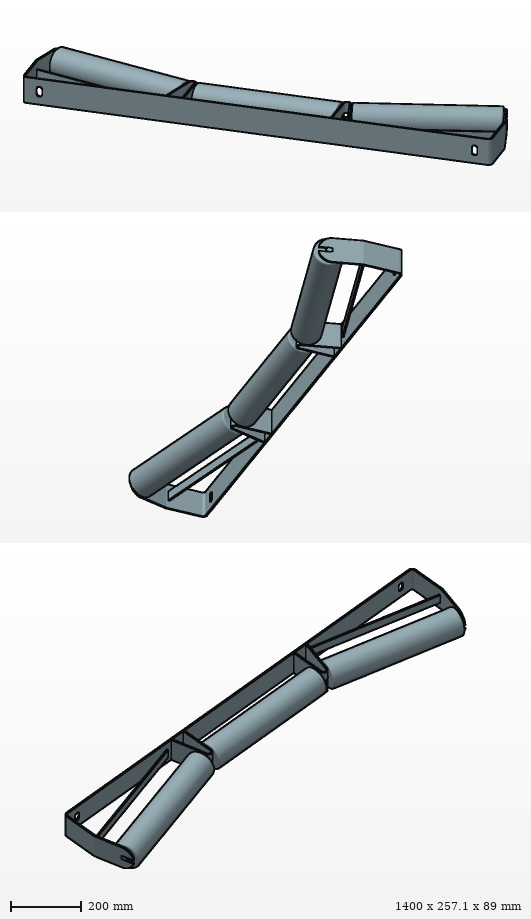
import cadquery as cq
import math


TILT = 15.0
SIN = math.sin(math.radians(TILT))
COS = math.cos(math.radians(TILT))
TAN = math.tan(math.radians(TILT))

STRIP = 5.0
STRIP_WIDTH = 80.0
BEND_INNER = 7.5
BEND_OUTER = BEND_INNER + STRIP

ROLLER_DIAMETER = 89.0
ROLLER_LENGTH = 430.0
ROLLER_ROUNDING = 5.0
END_GAP = 4.0
SUPPORT_SPAN = ROLLER_LENGTH + 2 * END_GAP
SHAFT_LENGTH = SUPPORT_SPAN + 2 * STRIP
SHAFT_WIDTH = 14.0
SHAFT_HEIGHT = 20.0
MIDDLE_AXIS_Y = 99.0

FRAME_HALF = 700.0
KNEE_Y = 123.7
TIP_CENTRE = 88.5
SIDE_AXIS = 97.2
MOUNT_SLOT_X = 650.0
MOUNT_SLOT_WIDTH = 17.0
MOUNT_SLOT_HEIGHT = 30.0

STRUT_WIDTH = 30.0
STRUT_FOOT_X = 290.5

LEG_PLANE = cq.Plane(
    origin=(-FRAME_HALF, KNEE_Y, 0),
    xDir=(COS, -SIN, 0),
    normal=(0, 0, 1),
)
MIDDLE_PLANE = cq.Plane(origin=(-SUPPORT_SPAN / 2 - STRIP, 0, 0), xDir=(1, 0, 0), normal=(0, 0, 1))


def leg_point(along_roller, up_leg):
    """Global X, Y of a point given in the frame of the left leaning leg."""
    x = -FRAME_HALF + along_roller * COS + up_leg * SIN
    y = KNEE_Y - along_roller * SIN + up_leg * COS
    return (x, y)


def leg_point_at_height(along_roller, y):
    """Global X, Y where a line parallel to the leaning leg reaches height y."""
    return leg_point(along_roller, (y - KNEE_Y + along_roller * SIN) / COS)


def leg_point_at_x(along_roller, x):
    """Global X, Y where a line parallel to the leaning leg reaches position x."""
    return leg_point(along_roller, (x + FRAME_HALF - along_roller * COS) / SIN)


def strip_from_outline(points):
    return cq.Workplane("XY").polyline(points).close().extrude(STRIP_WIDTH / 2, both=True)


def round_bend(strip, corner, radius):
    return strip.edges("|Z").edges(cq.selectors.NearestToPointSelector((*corner, 0))).fillet(radius)


def mirrored(body):
    return body.mirror("YZ")


def shaft_slot(plane, start, length, axis_height):
    """Cutter for a slot that seats a shaft end and is open upwards."""
    seat_height = axis_height - (SHAFT_HEIGHT - SHAFT_WIDTH) / 2
    middle = start + length / 2
    opening = (
        cq.Workplane(plane)
        .center(middle, seat_height + ROLLER_DIAMETER / 2)
        .box(length, ROLLER_DIAMETER, SHAFT_WIDTH)
    )
    seat = disc(plane, start, length, seat_height, SHAFT_WIDTH / 2)
    return opening.union(seat)


def disc(plane, start, length, height, radius):
    """Cylinder lying along the local X of a plane."""
    axis_start = plane.toWorldCoords((start, height, 0))
    return cq.Workplane(cq.Solid.makeCylinder(radius, length, axis_start, plane.xDir))


def make_half_frame():
    outer_corner = (-FRAME_HALF, 0)
    inner_corner = (-FRAME_HALF + STRIP, STRIP)
    outer_knee = (-FRAME_HALF, KNEE_Y)
    inner_knee = leg_point_at_x(STRIP, -FRAME_HALF + STRIP)
    half = strip_from_outline([
        (0, 0),
        outer_corner,
        outer_knee,
        leg_point(0, TIP_CENTRE),
        leg_point(STRIP, TIP_CENTRE),
        inner_knee,
        inner_corner,
        (0, STRIP),
    ])
    half = round_bend(half, outer_corner, BEND_OUTER)
    half = round_bend(half, inner_corner, BEND_INNER)
    half = round_bend(half, outer_knee, BEND_OUTER)
    half = round_bend(half, inner_knee, BEND_INNER)

    half = half.union(disc(LEG_PLANE, 0, STRIP, TIP_CENTRE, STRIP_WIDTH / 2))
    half = half.cut(shaft_slot(LEG_PLANE, 0, STRIP, SIDE_AXIS))

    mount_slot = (
        cq.Workplane("XZ")
        .center(-MOUNT_SLOT_X, 0)
        .slot2D(MOUNT_SLOT_HEIGHT, MOUNT_SLOT_WIDTH, 90)
        .extrude(-STRIP)
    )
    return half.cut(mount_slot)


def make_frame():
    half = make_half_frame()
    return half.union(mirrored(half))


def make_left_bracket():
    """Strip folded over into a leaning leg for the side roller and an upright leg for the middle one."""
    side_face = STRIP + SUPPORT_SPAN
    side_back = side_face + STRIP
    middle_face = -SUPPORT_SPAN / 2
    middle_back = middle_face - STRIP
    outer_crest = leg_point_at_x(side_face, middle_face)
    inner_crest = leg_point_at_x(side_back, middle_back)
    bracket = strip_from_outline([
        leg_point_at_height(side_face, STRIP),
        outer_crest,
        (middle_face, STRIP),
        (middle_back, STRIP),
        inner_crest,
        leg_point_at_height(side_back, STRIP),
    ])
    bracket = round_bend(bracket, outer_crest, BEND_OUTER)
    bracket = round_bend(bracket, inner_crest, BEND_INNER)
    bracket = bracket.cut(shaft_slot(LEG_PLANE, side_face, BEND_OUTER, SIDE_AXIS))
    return bracket.cut(shaft_slot(MIDDLE_PLANE, STRIP - BEND_OUTER, BEND_OUTER, MIDDLE_AXIS_Y))


def make_left_strut():
    """Flat bar parallel to the side roller, from the upright down to the base."""
    head_x = -FRAME_HALF + STRIP
    run = -STRUT_FOOT_X - head_x
    head_plane = cq.Plane(
        origin=(head_x, STRIP + run * TAN, 0),
        xDir=(COS, -SIN, 0),
        normal=(0, 0, 1),
    )
    return cq.Workplane(head_plane).box(run / COS, STRIP, STRUT_WIDTH, centered=(False, False, True))


def make_roller(plane, axis_height):
    """Roller with its flatted shaft; local X of the plane starts at the outside of the first support."""
    shell = disc(plane, STRIP + END_GAP, ROLLER_LENGTH, axis_height, ROLLER_DIAMETER / 2)
    shell = shell.edges("%CIRCLE").fillet(ROLLER_ROUNDING)
    axis_start = plane.toWorldCoords((0, axis_height, 0))
    end_plane = cq.Plane(origin=axis_start, xDir=plane.yDir, normal=plane.xDir)
    shaft = cq.Workplane(end_plane).slot2D(SHAFT_HEIGHT, SHAFT_WIDTH).extrude(SHAFT_LENGTH)
    return shell.union(shaft)


frame = make_frame()
left_bracket = make_left_bracket()
left_strut = make_left_strut()
left_roller = make_roller(LEG_PLANE, SIDE_AXIS)
middle_roller = make_roller(MIDDLE_PLANE, MIDDLE_AXIS_Y)

bodies = [frame.solids().val(), middle_roller.solids().val()]
for side_body in (left_bracket, left_strut, left_roller):
    bodies.append(side_body.solids().val())
    bodies.append(mirrored(side_body).solids().val())

result = cq.Compound.makeCompound(bodies)